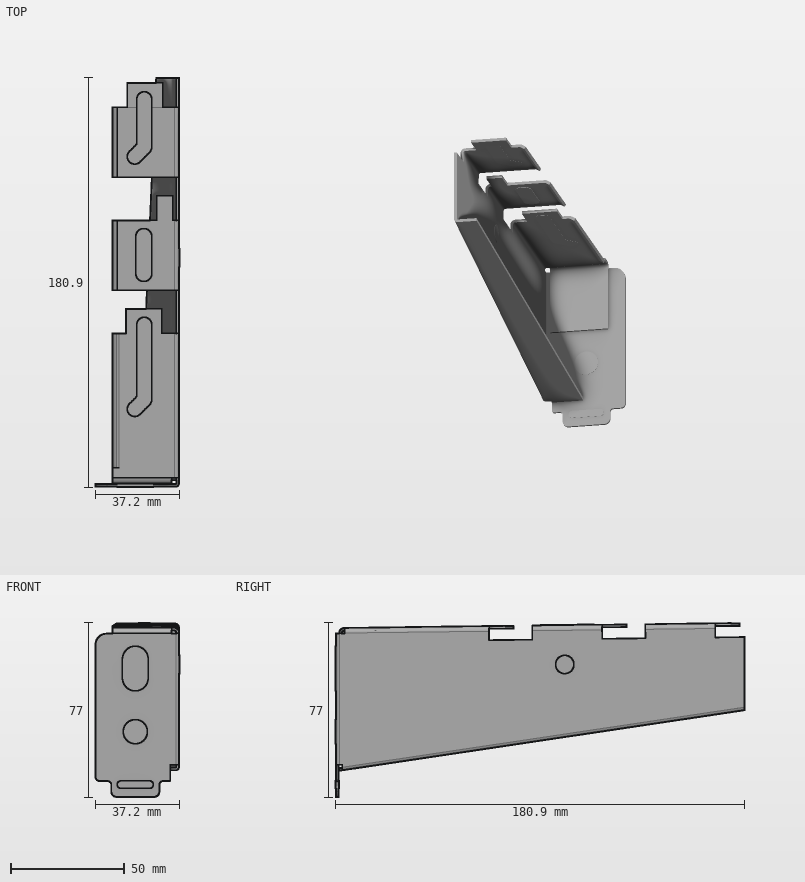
import math

import cadquery as cq


SHEET = 1.25
BEND_INNER = 0.25
BEND_OUTER = BEND_INNER + SHEET
WEB_OUTER_X = 37.0
WEB_INNER_X = WEB_OUTER_X - SHEET
BEND_START_X = WEB_OUTER_X - BEND_OUTER
LENGTH = 180.69
PLUG_RISE = 0.2
THIN_PLUG_RISE = 0.05

PLATE_TOP = 72.3
PLATE_BOTTOM = 7.0
PLATE_TOP_RADIUS = 5.0
PLATE_BOTTOM_RADIUS = 2.0
PLATE_NOTCH_X = 33.2
PLATE_NOTCH_RADIUS = 0.8
PLATE_BEND_BOTTOM = 14.2
TONGUE_WIDTH = 21.4
TONGUE_RADIUS = 2.5
TONGUE_ROOT_RADIUS = 1.5
PLATE_AXIS_X = 17.65
PLATE_SLOT = (19.8, 11.4)
PLATE_SLOT_Z = 56.8
PLATE_HOLE_DIAMETER = 10.7
PLATE_HOLE_Z = 28.9
TONGUE_SLOT = (16.0, 3.3)
TONGUE_SLOT_Z = 5.5

TOP_TILT = 0.7
TOP_Z = 74.77
WEB_NOTCH_DEPTH = 6.2
FLANGE_EDGE_X = 7.5
FLANGE_BEND_OUTER = 2.2
FLANGE_BEND_INNER = FLANGE_BEND_OUTER - SHEET
FLANGE_BEND_START_X = WEB_OUTER_X - FLANGE_BEND_OUTER
FLANGE_PITCH = 50.0
FIRST_FLANGE_END_Y = 67.75
SHORT_FLANGE_LENGTH = 31.0
TONGUE_REACH = 10.8
FLANGE_TONGUES = [(13.5, 29.4), (27.1, 34.2), (14.0, 29.8)]
LIP_ANGLE = 30.0
LIP_X = 9.6
HALF_LIP_X = 10.35
FULL_LIP_X = 9.3
FIRST_LIP_START_Y = 8.4

SLOT_AXIS_X = 21.6
ANGLED_SLOT_WIDTH = 6.6
ANGLED_SLOT_SIDESTEP = 4.2
ANGLED_SLOTS = [(71.6, 38.5), (171.3, 150.1)]
STRAIGHT_SLOT = (23.4, 7.1)
STRAIGHT_SLOT_CENTRE = (21.4, 102.4)

TAB_FRONT_Y = 1.4
TAB_RADIUS = 2.5
TAB_RIGHT_X = 33.7
TAB_BOTTOM = 43.9
TAB_BEND_Y = TAB_FRONT_Y + TAB_RADIUS
WEB_STEP_Y = TAB_BEND_Y + 1.0

BOTTOM_TILT = 8.5
BOTTOM_Z = 11.35
BOTTOM_START_Y = 1.5
BOTTOM_EDGE_X = 18.94
BOTTOM_TAPER = 2.5
WEB_RELIEF_Y = 2.8

WEB_HOLE_DIAMETER = 8.1
WEB_HOLE_Y = 101.2
WEB_HOLE_Z = 58.6

TOP_SLOPE = math.tan(math.radians(TOP_TILT))
BOTTOM_SLOPE = math.tan(math.radians(BOTTOM_TILT))


def box(x0, x1, y0, y1, z0, z1):
    return cq.Workplane("XY").box(x1 - x0, y1 - y0, z1 - z0, centered=False).translate((x0, y0, z0))


def extrude_y(profile, y0, y1):
    """Extrude an XZ profile from y0 to y1 (the XZ workplane normal is -Y)."""
    return profile.extrude(y0 - y1).translate((0, y0, 0))


def tilt(body, angle, z):
    """Lift a body drawn level about Z = 0 to height z and tilt it up toward +Y."""
    return body.rotate((0, 0, 0), (1, 0, 0), angle).translate((0, 0, z))


def arc_mid(centre, radius, degrees):
    """Point at the given angle on a circle, used as the middle point of an arc."""
    a = math.radians(degrees)
    return (centre[0] + radius * math.cos(a), centre[1] + radius * math.sin(a))


def mounting_plate():
    left = PLATE_AXIS_X - TONGUE_WIDTH / 2
    right = PLATE_AXIS_X + TONGUE_WIDTH / 2
    outline = (
        cq.Workplane("XZ")
        .moveTo(0, PLATE_BOTTOM)
        .lineTo(left, PLATE_BOTTOM)
        .lineTo(left, 0)
        .lineTo(right, 0)
        .lineTo(right, PLATE_BOTTOM)
        .lineTo(PLATE_NOTCH_X, PLATE_BOTTOM)
        .lineTo(PLATE_NOTCH_X, PLATE_BEND_BOTTOM)
        .lineTo(BEND_START_X, PLATE_BEND_BOTTOM)
        .lineTo(BEND_START_X, PLATE_TOP)
        .lineTo(0, PLATE_TOP)
        .close()
    )
    plate = extrude_y(outline, 0, SHEET)
    rounded_corners = [
        (0, PLATE_TOP, PLATE_TOP_RADIUS),
        (0, PLATE_BOTTOM, PLATE_BOTTOM_RADIUS),
        (PLATE_NOTCH_X, PLATE_BOTTOM, PLATE_NOTCH_RADIUS),
        (left, PLATE_BOTTOM, TONGUE_ROOT_RADIUS),
        (right, PLATE_BOTTOM, TONGUE_ROOT_RADIUS),
        (left, 0, TONGUE_RADIUS),
        (right, 0, TONGUE_RADIUS),
    ]
    for x, z, radius in rounded_corners:
        corner = cq.selectors.NearestToPointSelector((x, SHEET / 2, z))
        plate = plate.edges("|Y").edges(corner).fillet(radius)

    centre = (BEND_START_X, BEND_OUTER)
    bend = (
        cq.Workplane("XY")
        .moveTo(BEND_START_X, 0)
        .threePointArc(arc_mid(centre, BEND_OUTER, -45), (WEB_OUTER_X, BEND_OUTER))
        .lineTo(WEB_INNER_X, BEND_OUTER)
        .threePointArc(arc_mid(centre, BEND_INNER, -45), (BEND_START_X, SHEET))
        .close()
        .extrude(PLATE_TOP - PLATE_BEND_BOTTOM)
        .translate((0, 0, PLATE_BEND_BOTTOM))
    )
    return plate.union(bend)


def plate_plugs():
    def face(z):
        return cq.Workplane("XZ").center(PLATE_AXIS_X, z)

    shapes = [
        face(PLATE_SLOT_Z).slot2D(*PLATE_SLOT, 90),
        face(PLATE_HOLE_Z).circle(PLATE_HOLE_DIAMETER / 2),
        face(TONGUE_SLOT_Z).slot2D(*TONGUE_SLOT),
    ]
    return [extrude_y(shape, -PLUG_RISE, SHEET + PLUG_RISE) for shape in shapes]


def web():
    def top(y):
        return TOP_Z - WEB_NOTCH_DEPTH + TOP_SLOPE * y

    def bottom(y):
        return BOTTOM_Z + BEND_OUTER + BOTTOM_SLOPE * y

    return (
        cq.Workplane("YZ")
        .polyline(
            [
                (BEND_OUTER, PLATE_BEND_BOTTOM),
                (BEND_OUTER, PLATE_TOP),
                (WEB_STEP_Y, PLATE_TOP),
                (WEB_STEP_Y, top(WEB_STEP_Y)),
                (LENGTH, top(LENGTH)),
                (LENGTH, bottom(LENGTH)),
                (WEB_RELIEF_Y, bottom(WEB_RELIEF_Y)),
                (WEB_RELIEF_Y, PLATE_BEND_BOTTOM),
            ]
        )
        .close()
        .extrude(SHEET)
        .translate((WEB_INNER_X, 0, 0))
    )


def web_plug():
    return (
        cq.Workplane("YZ")
        .center(WEB_HOLE_Y, WEB_HOLE_Z)
        .circle(WEB_HOLE_DIAMETER / 2)
        .extrude(SHEET + 2 * PLUG_RISE)
        .translate((WEB_INNER_X - PLUG_RISE, 0, 0))
    )


def flange_section(lip_bends):
    """Flange profile with its top at Z = 0: web leg, web bend, level part and a lip.

    lip_bends lists (X, downward angle in degrees) for each crease, toward the free edge.
    """
    upper = []
    lower = []
    z = 0.0
    angle = 0.0
    x = FLANGE_BEND_START_X
    for next_x, next_angle in lip_bends + [(FLANGE_EDGE_X, None)]:
        z -= (x - next_x) * math.tan(math.radians(angle))
        x = next_x
        last = next_angle is None
        slant = math.radians(angle if last else (angle + next_angle) / 2)
        half_turn = 0.0 if last else math.radians((next_angle - angle) / 2)
        reach = SHEET / math.cos(half_turn)
        upper.append((x, z))
        lower.append((x + reach * math.sin(slant), z - reach * math.cos(slant)))
        angle = next_angle

    centre = (FLANGE_BEND_START_X, -FLANGE_BEND_OUTER)
    profile = (
        cq.Workplane("XZ")
        .moveTo(WEB_INNER_X, -WEB_NOTCH_DEPTH)
        .lineTo(WEB_OUTER_X, -WEB_NOTCH_DEPTH)
        .lineTo(WEB_OUTER_X, -FLANGE_BEND_OUTER)
        .threePointArc(arc_mid(centre, FLANGE_BEND_OUTER, 45), (FLANGE_BEND_START_X, 0))
    )
    for point in upper + lower[::-1] + [(FLANGE_BEND_START_X, -SHEET)]:
        profile = profile.lineTo(*point)
    inner_mid = arc_mid(centre, FLANGE_BEND_INNER, 45)
    return profile.threePointArc(inner_mid, (WEB_INNER_X, -FLANGE_BEND_OUTER)).close()


def top_flanges():
    first_lip = [(HALF_LIP_X, LIP_ANGLE / 2), (FULL_LIP_X, LIP_ANGLE)]
    flanges = extrude_y(flange_section([]), TAB_BEND_Y, FIRST_LIP_START_Y)
    flanges = flanges.union(extrude_y(flange_section(first_lip), FIRST_LIP_START_Y, FIRST_FLANGE_END_Y))
    for number, (x0, x1) in enumerate(FLANGE_TONGUES):
        end = FIRST_FLANGE_END_Y + number * FLANGE_PITCH
        if number > 0:
            section = flange_section([(LIP_X, LIP_ANGLE)])
            flanges = flanges.union(extrude_y(section, end - SHORT_FLANGE_LENGTH, end))
        tongue = box(x0, x1, end, end + TONGUE_REACH, -SHEET, 0)
        if number == len(FLANGE_TONGUES) - 1:
            tongue = tongue.rotate((0, end, 0), (1, end, 0), -TOP_TILT)
        flanges = flanges.union(tongue)
    return tilt(flanges, TOP_TILT, TOP_Z)


def angled_slot(far_y, turn_y):
    """Slot along Y that turns 45 degrees toward -X at its near end."""
    height = SHEET + 2 * THIN_PLUG_RISE
    straight_length = far_y - turn_y
    diagonal_length = ANGLED_SLOT_SIDESTEP * math.sqrt(2)
    straight = (
        cq.Workplane("XY")
        .center(SLOT_AXIS_X, turn_y + straight_length / 2)
        .slot2D(straight_length + ANGLED_SLOT_WIDTH, ANGLED_SLOT_WIDTH, 90)
        .extrude(height)
    )
    diagonal = (
        cq.Workplane("XY")
        .center(SLOT_AXIS_X - ANGLED_SLOT_SIDESTEP / 2, turn_y - ANGLED_SLOT_SIDESTEP / 2)
        .slot2D(diagonal_length + ANGLED_SLOT_WIDTH, ANGLED_SLOT_WIDTH, 45)
        .extrude(height)
    )
    return straight.union(diagonal).translate((0, 0, -SHEET - THIN_PLUG_RISE))


def flange_plugs():
    straight = (
        cq.Workplane("XY")
        .center(*STRAIGHT_SLOT_CENTRE)
        .slot2D(*STRAIGHT_SLOT, 90)
        .extrude(SHEET + 2 * PLUG_RISE)
        .translate((0, 0, -SHEET - PLUG_RISE))
    )
    plugs = [straight] + [angled_slot(*ends) for ends in ANGLED_SLOTS]
    return [tilt(plug, TOP_TILT, TOP_Z) for plug in plugs]


def folded_tab():
    top = TOP_Z + TOP_SLOPE * TAB_BEND_Y
    centre = (TAB_BEND_Y, top - TAB_RADIUS)
    inner = TAB_RADIUS - SHEET
    return (
        cq.Workplane("YZ")
        .moveTo(TAB_BEND_Y, top)
        .threePointArc(arc_mid(centre, TAB_RADIUS, 135), (TAB_FRONT_Y, centre[1]))
        .lineTo(TAB_FRONT_Y, TAB_BOTTOM)
        .lineTo(TAB_FRONT_Y + SHEET, TAB_BOTTOM)
        .lineTo(TAB_FRONT_Y + SHEET, centre[1])
        .threePointArc(arc_mid(centre, inner, 135), (TAB_BEND_Y, top - SHEET))
        .close()
        .extrude(TAB_RIGHT_X - FLANGE_EDGE_X)
        .translate((FLANGE_EDGE_X, 0, 0))
    )


def bottom_flange():
    centre = (BEND_START_X, BEND_OUTER)
    section = (
        cq.Workplane("XZ")
        .moveTo(0, 0)
        .lineTo(BEND_START_X, 0)
        .threePointArc(arc_mid(centre, BEND_OUTER, -45), (WEB_OUTER_X, BEND_OUTER))
        .lineTo(WEB_INNER_X, BEND_OUTER)
        .threePointArc(arc_mid(centre, BEND_INNER, -45), (BEND_START_X, SHEET))
        .lineTo(0, SHEET)
        .close()
    )
    flange = tilt(extrude_y(section, -LENGTH, 2 * LENGTH), BOTTOM_TILT, BOTTOM_Z)
    taper = math.tan(math.radians(BOTTOM_TAPER))
    footprint = (
        cq.Workplane("XY")
        .polyline(
            [
                (BOTTOM_EDGE_X + taper * BOTTOM_START_Y, BOTTOM_START_Y),
                (WEB_OUTER_X, BOTTOM_START_Y),
                (WEB_OUTER_X, LENGTH),
                (BOTTOM_EDGE_X + taper * LENGTH, LENGTH),
            ]
        )
        .close()
        .extrude(PLATE_TOP)
    )
    relief = box(PLATE_NOTCH_X, WEB_OUTER_X, 0, WEB_RELIEF_Y, 0, PLATE_TOP)
    return flange.intersect(footprint).cut(relief)


result = web()
for piece in [mounting_plate(), top_flanges(), folded_tab(), bottom_flange(), web_plug()]:
    result = result.union(piece)
for plug in plate_plugs() + flange_plugs():
    result = result.union(plug)